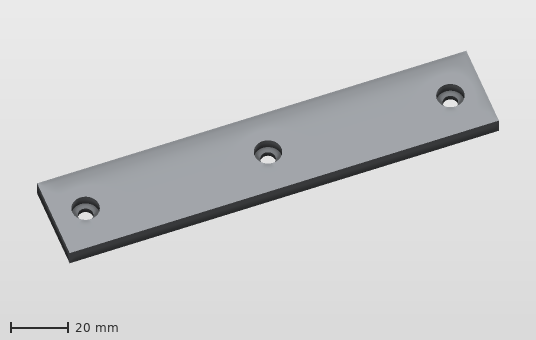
import cadquery as cq

width = 32.0
length = 160.0
thickness = 6.0

hole_pitch = 68.0
hole_diameter = 5.5
counterbore_diameter = 10.0
counterbore_depth = 4.0

hole_centres = [(0, row * hole_pitch) for row in (-1, 0, 1)]

result = (
    cq.Workplane("XY")
    .box(width, length, thickness)
    .faces(">Z")
    .workplane()
    .pushPoints(hole_centres)
    .cboreHole(hole_diameter, counterbore_diameter, counterbore_depth)
)